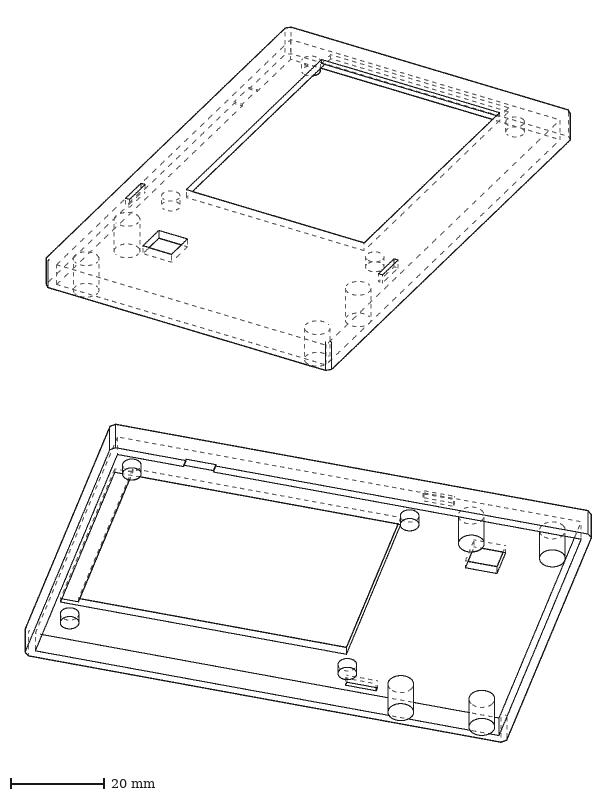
import cadquery as cq

length_x = 70.0
length_y = 107.0
overall_height = 10.0
foot_drop = 3.0
shell_height = overall_height - foot_drop
plate_thickness = 2.0
wall_thickness = 2.0
corner_chamfer = 1.0
top_edge_radius = 0.5
plate_underside = shell_height - plate_thickness

window_x = 43.6
window_y = 59.5
window_center = (0.0, 15.25)
display_pocket_depth = 1.0
display_pocket_overhang = 4.0

button_size = 7.0
button_center = (-15.5, -35.1)
slot_width = 1.0
slot_length = 6.8
slot_offset_x = 31.0
slot_center_y = -20.4

foot_diameter = 5.5
foot_x_positions = (-28.65, 28.0)
foot_y_positions = (-28.3, -46.3)

post_diameter = 4.0
post_height = 2.5
post_offset_x = 25.0
post_offset_y = 30.85

rim_notch_length = 6.6
rim_notch_height = 0.4
rim_notch_center_y = 33.5


def make_shell():
    outer = (
        cq.Workplane("XY")
        .box(length_x, length_y, shell_height, centered=(True, True, False))
        .edges("|Z")
        .chamfer(corner_chamfer)
        .faces(">Z")
        .edges()
        .fillet(top_edge_radius)
    )
    cavity = cq.Workplane("XY").box(
        length_x - 2 * wall_thickness,
        length_y - 2 * wall_thickness,
        plate_underside,
        centered=(True, True, False),
    )
    return outer.cut(cavity)


def plate_opening(size_x, size_y, center):
    """Rectangular cutter that passes right through the plate."""
    return (
        cq.Workplane("XY")
        .center(*center)
        .rect(size_x, size_y)
        .extrude(shell_height)
    )


def make_display_pocket():
    """Cutter in the plate's underside, as wide as the window and longer toward +Y."""
    center_x, center_y = window_center
    return (
        cq.Workplane("XY")
        .workplane(offset=plate_underside)
        .center(center_x, center_y + display_pocket_overhang / 2)
        .rect(window_x, window_y + display_pocket_overhang)
        .extrude(display_pocket_depth)
    )


def hanging_cylinders(points, diameter, drop):
    """Cylinders that hang from the plate's underside."""
    return (
        cq.Workplane("XY")
        .workplane(offset=plate_underside)
        .pushPoints(points)
        .circle(diameter / 2)
        .extrude(-drop)
    )


def make_rim_notch():
    return cq.Workplane("XY").box(
        wall_thickness,
        rim_notch_length,
        rim_notch_height,
        centered=(False, True, False),
    ).translate((-length_x / 2, rim_notch_center_y, 0))


foot_points = [(x, y) for x in foot_x_positions for y in foot_y_positions]
post_points = [
    (window_center[0] + side_x * post_offset_x, window_center[1] + side_y * post_offset_y)
    for side_x in (-1, 1)
    for side_y in (-1, 1)
]

result = make_shell()
result = result.cut(make_display_pocket())
result = result.cut(plate_opening(window_x, window_y, window_center))
result = result.cut(plate_opening(button_size, button_size, button_center))
for side in (-1, 1):
    slot_center = (side * slot_offset_x, slot_center_y)
    result = result.cut(plate_opening(slot_width, slot_length, slot_center))
result = result.cut(make_rim_notch())
result = result.union(hanging_cylinders(foot_points, foot_diameter, plate_underside + foot_drop))
result = result.union(hanging_cylinders(post_points, post_diameter, post_height))